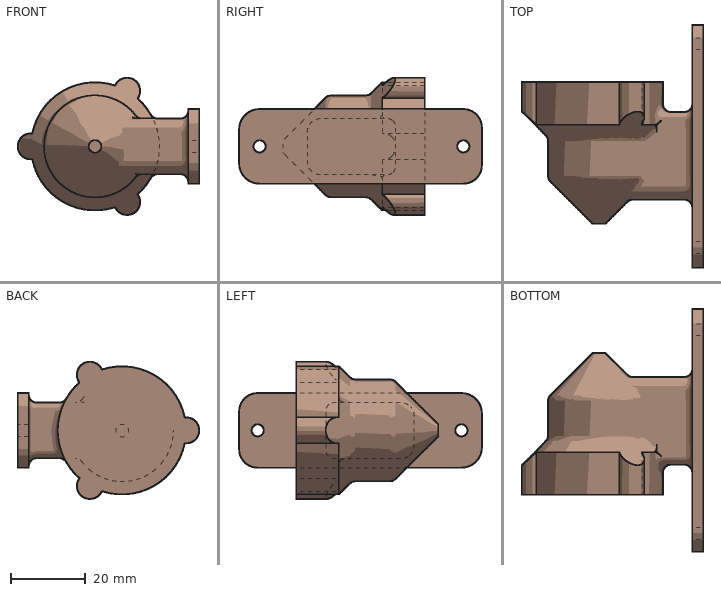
import cadquery as cq
import math

plate_length = 65.0
plate_height = 20.0
plate_thickness = 3.0
upper_corner_radius = 5.0
lower_corner_radius = 5.5
screw_hole_diameter = 3.2

cup_radius = 17.15
neck_radius = 13.65
tip_radius = 1.7
cup_mouth_y = 17.2
cup_shoulder_y = 5.8
tip_y = -20.75
neck_bottom_y = tip_y + (neck_radius - tip_radius)
neck_top_y = cup_shoulder_y - (cup_radius - neck_radius)

lobe_radius = 3.5
lobe_count = 3
lobe_first_angle = 60.0

arm_half_height = 7.5
arm_bottom_y = -14.3
arm_top_y = 9.2
arm_bottom_edge_radius = 3.5
arm_top_edge_radius = 2.0
blend_radius = 2.0

total_width = 48.55
lobe_reach = cup_radius + lobe_radius
plate_outer_x = total_width - lobe_reach
plate_inner_x = plate_outer_x - plate_thickness
seam_margin = 0.05


def make_cup_outline():
    """Cup cylinder with the lobes along its rim, running past both ends of the housing cones."""
    rim = cq.Workplane("XZ", origin=(0, cup_mouth_y, 0))
    cup_length = cup_mouth_y - tip_y
    outline = rim.circle(cup_radius).extrude(cup_length)
    lobes = (
        rim.polarArray(cup_radius, lobe_first_angle, 360, lobe_count)
        .circle(lobe_radius)
        .extrude(cup_length)
    )
    return outline.union(lobes)


def make_housing():
    """Turned body; the shoulder cone also trims the lower ends of the lobes."""
    lobe_end_y = cup_shoulder_y + (lobe_reach - cup_radius)
    turned = (
        cq.Workplane("XY")
        .moveTo(0, tip_y)
        .lineTo(-tip_radius, tip_y)
        .lineTo(-neck_radius, neck_bottom_y)
        .lineTo(-neck_radius, neck_top_y)
        .lineTo(-lobe_reach, lobe_end_y)
        .lineTo(-lobe_reach, cup_mouth_y)
        .lineTo(0, cup_mouth_y)
        .close()
        .revolve(360, (0, 0, 0), (0, 1, 0))
    )
    neck_band = cq.selectors.BoxSelector(
        (-lobe_reach, neck_bottom_y - seam_margin, -lobe_reach),
        (lobe_reach, neck_top_y + seam_margin, lobe_reach),
        boundingbox=True,
    )
    turned = turned.edges("%CIRCLE").edges(neck_band).fillet(blend_radius)
    return turned.intersect(make_cup_outline())


def make_arm():
    """Bar from the housing axis to mid-plate, with its four long edges rounded."""
    arm_length = plate_inner_x + plate_thickness / 2
    arm = (
        cq.Workplane("XY", origin=(0, arm_bottom_y, 0))
        .box(arm_length, arm_top_y - arm_bottom_y, 2 * arm_half_height, centered=(False, False, True))
    )
    arm = arm.faces("<Y").edges("|X").fillet(arm_bottom_edge_radius)
    return arm.faces(">Y").edges("|X").fillet(arm_top_edge_radius)


def make_plate():
    """Mounting plate with rounded corners and a screw hole centred on the corners at each end."""
    plate = (
        cq.Workplane("XY", origin=(plate_inner_x, 0, 0))
        .box(plate_thickness, plate_length, plate_height, centered=(False, True, True))
    )
    plate = plate.faces(">Y").edges("|X").fillet(upper_corner_radius)
    plate = plate.faces("<Y").edges("|X").fillet(lower_corner_radius)
    hole_spots = [
        (plate_length / 2 - upper_corner_radius, 0),
        (-plate_length / 2 + lower_corner_radius, 0),
    ]
    holes = (
        cq.Workplane("YZ", origin=(plate_inner_x, 0, 0))
        .pushPoints(hole_spots)
        .circle(screw_hole_diameter / 2)
        .extrude(plate_thickness)
    )
    return plate.cut(holes)


def blend_seam(body, x_range, y_range):
    """Fill the concave seams of the arm that lie within the given ranges."""
    half_height = arm_half_height + seam_margin
    seam = cq.selectors.BoxSelector(
        (x_range[0] - seam_margin, y_range[0] - seam_margin, -half_height),
        (x_range[1] + seam_margin, y_range[1] + seam_margin, half_height),
        boundingbox=True,
    )
    return body.edges(seam).fillet(blend_radius)


def make_housing_with_arm():
    """Housing and arm, with the seam blended separately below and above the cup shoulder."""
    body = make_housing().union(make_arm())
    seam_x = (tip_radius, cup_radius)
    below_shoulder = blend_seam(body, seam_x, (arm_bottom_y, cup_shoulder_y))
    above_shoulder = blend_seam(body, seam_x, (cup_shoulder_y, arm_top_y))
    return below_shoulder.union(above_shoulder)


def add_plate(body):
    """Join the plate to the arm end, with a blend all round where they meet."""
    joined = body.union(make_plate())
    return blend_seam(joined, (plate_inner_x, plate_inner_x), (arm_bottom_y, arm_top_y))


result = add_plate(make_housing_with_arm())